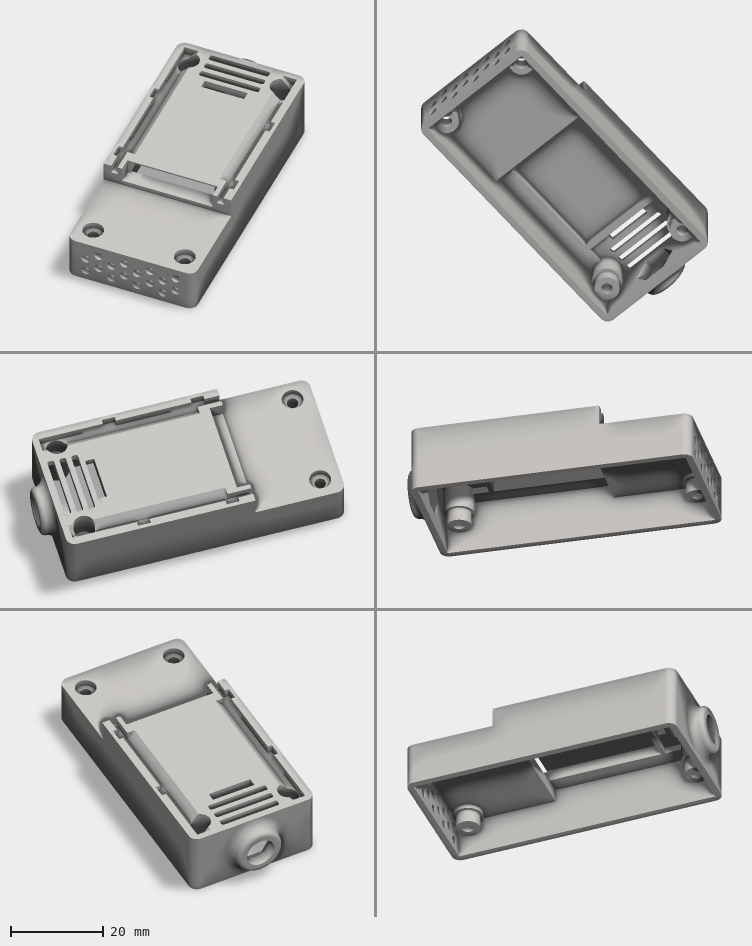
import cadquery as cq
import math

width = 30.0
height = 15.0
total_length = 65.65
neck_length = 3.0
body_length = total_length - neck_length
corner_radius = 2.0
wall = 1.5

step_y = 20.4
step_z = 10.3
deck_thickness = 3.1
deck_underside_z = height - deck_thickness
front_roof_underside_z = step_z - wall

pocket_width = 21.3
pocket_back_y = 23.4
pocket_floor_z = 11.5
pocket_floor_back_y = 23.95
bay_width = 19.7
bay_back_y = 49.9
deck_skin = 0.4

rib_thickness = 1.05
rear_deck_thickness = 1.65

slot_inner_x = 11.7
slot_outer_x = 13.2
slot_depth = 2.0
slot_back_y = 61.2
bevel_top_x = 9.9
bevel_depth = slot_inner_x - bevel_top_x
bevel_front_y = 25.8

notch_outer_x = 14.2
notch_length = 2.9
notch_front_ys = (23.85, 43.8)
undercut_height = 1.2
undercut_length = 7.55

screw_x = 10.8
screw_ys = (4.65, 57.85)
screw_hole_radius = 1.25
head_recess_radius = 2.35
head_recess_floor_z = 8.7
upper_boss_radius = 3.35
upper_boss_bottom_z = 7.9
lower_boss_radius = 2.7
lower_boss_bottom_z = 4.8

vent_size = (14.1, 1.5)
vent_corner_radius = 0.45
vent_centre_ys = (54.95, 57.65, 60.35)
cable_opening_size = (10.1, 2.05)
cable_opening_centre_y = 52.1

air_hole_radius = 1.0
air_hole_pitch_x = 3.0
air_hole_columns = 8
air_hole_pitch_z = 1.8
air_hole_bottom_z = 2.35

neck_centre_z = height / 2
neck_radius = 5.4
neck_lip_radius = 1.0
neck_flare_radius = neck_length - neck_lip_radius
bore_radius = 3.35
nut_across_flats = 8.9
nut_recess_depth = 2.0


def block(x0, x1, y0, y1, z0, z1):
    """Box between two corners."""
    return cq.Workplane("XY").box(x1 - x0, y1 - y0, z1 - z0, centered=False).translate((x0, y0, z0))


def mid_block(block_width, y0, y1, z0, z1):
    """Box centred on the X axis."""
    return block(-block_width / 2, block_width / 2, y0, y1, z0, z1)


def cylinder(x, y, radius, z0, z1):
    """Upright cylinder."""
    return cq.Workplane("XY", origin=(x, y, z0)).circle(radius).extrude(z1 - z0)


def on_both_sides(shape):
    """The shape together with its mirror image in X."""
    return shape.union(shape.mirror("YZ"))


def case_shell():
    shell = mid_block(width, 0, body_length, 0, height).edges("|Z").fillet(corner_radius)
    shell = shell.cut(mid_block(width, 0, step_y, step_z, height))
    cavity_width = width - 2 * wall
    cavity_back_y = body_length - wall
    shell = shell.cut(mid_block(cavity_width, wall, cavity_back_y, 0, front_roof_underside_z))
    shell = shell.cut(mid_block(cavity_width, pocket_floor_back_y, cavity_back_y, 0, deck_underside_z))
    rear_bay_top_z = height - rear_deck_thickness
    rear_bay_y = bay_back_y + rib_thickness
    return shell.cut(mid_block(bay_width, rear_bay_y, cavity_back_y, deck_underside_z, rear_bay_top_z))


def pocket_and_bay():
    pocket = mid_block(pocket_width, step_y, pocket_back_y, pocket_floor_z, height)
    bay = mid_block(bay_width, pocket_back_y, bay_back_y, pocket_floor_z, height - deck_skin)
    return pocket.union(bay)


def side_slot():
    floor_z = height - slot_depth
    slot = block(slot_inner_x, slot_outer_x, step_y, slot_back_y, floor_z, height)
    bevel = (
        cq.Workplane("XZ", origin=(0, slot_back_y, 0))
        .moveTo(bevel_top_x, height)
        .lineTo(slot_inner_x, height)
        .lineTo(slot_inner_x, height - bevel_depth)
        .close()
        .extrude(slot_back_y - bevel_front_y)
    )
    slot = slot.union(bevel)
    for y in notch_front_ys:
        slot = slot.union(block(slot_inner_x, notch_outer_x, y, y + notch_length, floor_z, height))
        undercut_top_z = floor_z + undercut_height
        slot = slot.union(
            block(slot_inner_x, notch_outer_x, y, y + undercut_length, floor_z, undercut_top_z)
        )
    return slot


def screw_boss(y):
    roof_z = front_roof_underside_z if y < step_y else height - rear_deck_thickness
    upper = cylinder(screw_x, y, upper_boss_radius, upper_boss_bottom_z, roof_z)
    lower = cylinder(screw_x, y, lower_boss_radius, lower_boss_bottom_z, roof_z)
    return upper.union(lower)


def screw_hole(y):
    hole = cylinder(screw_x, y, screw_hole_radius, 0, height)
    return hole.union(cylinder(screw_x, y, head_recess_radius, head_recess_floor_z, height))


def deck_openings():
    depth = (height - rear_deck_thickness, height)
    opening_width, opening_length = cable_opening_size
    front_y = cable_opening_centre_y - opening_length / 2
    openings = mid_block(opening_width, front_y, front_y + opening_length, *depth)
    vent_width, vent_length = vent_size
    for y in vent_centre_ys:
        vent = mid_block(vent_width, y - vent_length / 2, y + vent_length / 2, *depth)
        openings = openings.union(vent.edges("|Z").fillet(vent_corner_radius))
    return openings


def air_holes():
    """Holes through the front wall; neighbouring columns are offset by one row."""
    points = []
    for column in range(air_hole_columns):
        x = (column - (air_hole_columns - 1) / 2) * air_hole_pitch_x
        for row in (column % 2, column % 2 + 2):
            points.append((x, air_hole_bottom_z + row * air_hole_pitch_z))
    return cq.Workplane("XZ").pushPoints(points).circle(air_hole_radius).extrude(-wall)


def neck():
    """Revolved about the Y axis line through the neck centre."""
    lip_start = neck_length - neck_lip_radius
    diagonal = math.sqrt(0.5)
    flare_centre = neck_radius + neck_flare_radius
    lip_centre = neck_radius - neck_lip_radius
    return (
        cq.Workplane("XY", origin=(0, body_length, neck_centre_z))
        .lineTo(flare_centre, 0)
        .threePointArc(
            (flare_centre - neck_flare_radius * diagonal, neck_flare_radius * (1 - diagonal)),
            (neck_radius, lip_start),
        )
        .threePointArc(
            (lip_centre + neck_lip_radius * diagonal, lip_start + neck_lip_radius * diagonal),
            (lip_centre, neck_length),
        )
        .lineTo(0, neck_length)
        .close()
        .revolve(360, (0, 0, 0), (0, 1, 0))
    )


def neck_bore():
    """Round bore through the rear wall and neck, with a hexagonal nut recess inside the case."""
    inner_face_y = body_length - wall
    plane = cq.Workplane("XZ", origin=(0, inner_face_y, neck_centre_z))
    nut_diameter = nut_across_flats / math.cos(math.pi / 6)
    recess = plane.polygon(6, nut_diameter).extrude(-nut_recess_depth)
    return recess.union(plane.circle(bore_radius).extrude(-(wall + neck_length)))


result = case_shell()
for screw_y in screw_ys:
    result = result.union(on_both_sides(screw_boss(screw_y)))
result = result.union(neck())
result = result.cut(pocket_and_bay())
result = result.cut(on_both_sides(side_slot()))
for screw_y in screw_ys:
    result = result.cut(on_both_sides(screw_hole(screw_y)))
result = result.cut(deck_openings())
result = result.cut(air_holes())
result = result.cut(neck_bore())